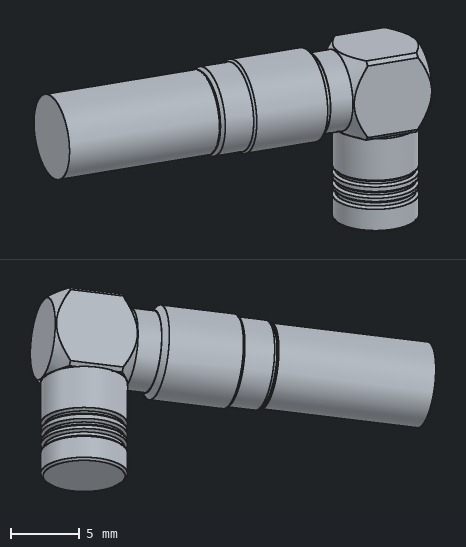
import cadquery as cq


total_length = 29.2
barrel_diameter = 6.35
barrel_radius = barrel_diameter / 2
barrel_bottom_depth = 10.48

body_width = 6.22
body_length = barrel_diameter
body_edge_chamfer = 0.3

neck_radius = 3.05
neck_length = 1.8
sleeve_diameter = 7.03
sleeve_radius = sleeve_diameter / 2
sleeve_length = 6.3
sleeve_front_chamfer = 0.45
sleeve_step = 0.18
collar_radius = sleeve_radius - sleeve_step
collar_length = 2.28
collar_chamfer = 0.25
relief_length = 0.12
relief_radius = collar_radius - collar_chamfer
cable_radius = barrel_radius

barrel_end_chamfer = 0.18
groove_depth = 0.23
groove_slope = 0.18
wide_groove_start = 1.85
wide_groove_width = 0.6
narrow_groove_starts = (2.71, 3.6)
narrow_groove_width = 0.53


def make_body():
    """Square elbow block with its ends turned down to a 45 degree cone."""
    block = (
        cq.Workplane("XY")
        .box(body_width, body_length, body_width)
        .edges("|Y")
        .chamfer(body_edge_chamfer)
    )
    half_length = body_length / 2
    turned_envelope = (
        cq.Workplane("XY")
        .moveTo(0, -half_length)
        .lineTo(neck_radius, -half_length)
        .lineTo(neck_radius + half_length, 0)
        .lineTo(neck_radius, half_length)
        .lineTo(0, half_length)
        .close()
        .revolve(360, (0, 0, 0), (0, 1, 0))
    )
    return block.intersect(turned_envelope)


def make_cable_side():
    """Neck, crimp sleeve, collar and cable, turned about the Y axis."""
    body_front = -body_length / 2
    sleeve_start = body_front - neck_length
    sleeve_end = sleeve_start - sleeve_length
    collar_end = sleeve_end - collar_length
    relief_start = collar_end - collar_chamfer
    cable_start = relief_start - relief_length
    cable_end = body_length / 2 - total_length
    return (
        cq.Workplane("XY")
        .moveTo(0, 0)
        .lineTo(neck_radius, 0)
        .lineTo(neck_radius, sleeve_start)
        .lineTo(sleeve_radius - sleeve_front_chamfer, sleeve_start)
        .lineTo(sleeve_radius, sleeve_start - sleeve_front_chamfer)
        .lineTo(sleeve_radius, sleeve_end + sleeve_step)
        .lineTo(collar_radius, sleeve_end)
        .lineTo(collar_radius, collar_end)
        .lineTo(relief_radius, relief_start)
        .lineTo(relief_radius, cable_start)
        .lineTo(cable_radius, cable_start)
        .lineTo(cable_radius, cable_end)
        .lineTo(0, cable_end)
        .close()
        .revolve(360, (0, 0, 0), (0, 1, 0))
    )


def make_groove(start, width):
    """Ring cutter for a groove with slanted walls, start above the barrel end."""
    bottom = start - barrel_bottom_depth
    top = bottom + width
    root_radius = barrel_radius - groove_depth
    clear_radius = barrel_radius + groove_depth
    return (
        cq.Workplane("XZ")
        .moveTo(clear_radius, bottom)
        .lineTo(barrel_radius, bottom)
        .lineTo(root_radius, bottom + groove_slope)
        .lineTo(root_radius, top - groove_slope)
        .lineTo(barrel_radius, top)
        .lineTo(clear_radius, top)
        .close()
        .revolve(360, (0, 0, 0), (0, 1, 0))
    )


def make_barrel():
    """Grooved mating barrel along Z, standing against the body underside."""
    barrel = (
        cq.Workplane("XY")
        .workplane(offset=-barrel_bottom_depth)
        .circle(barrel_radius)
        .extrude(barrel_bottom_depth - body_width / 2)
        .faces("<Z")
        .chamfer(barrel_end_chamfer)
    )
    barrel = barrel.cut(make_groove(wide_groove_start, wide_groove_width))
    for start in narrow_groove_starts:
        barrel = barrel.cut(make_groove(start, narrow_groove_width))
    return barrel


result = make_body().union(make_cable_side()).union(make_barrel())